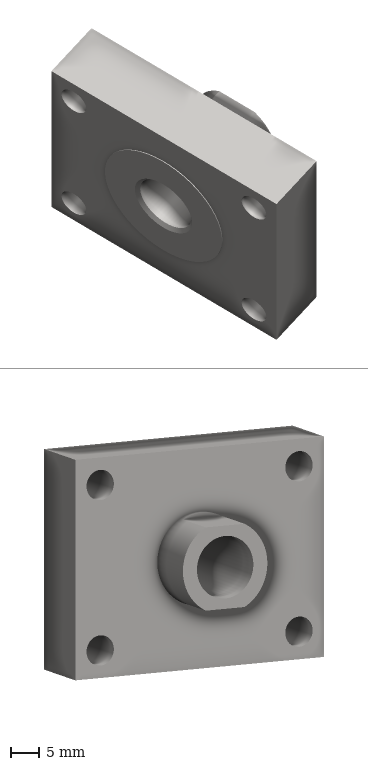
import cadquery as cq

plate_width = 50.0
plate_height = 40.0
plate_thickness = 12.0

mount_hole_diameter = 5.5
mount_pitch_x = 40.0
mount_pitch_z = 30.0

total_depth = 22.0
face_diameter = 26.0
face_height = 0.15
spigot_diameter = 17.0
spigot_length = total_depth - plate_thickness - face_height

flat_spacing = 15.1
flat_length = 8.8

bore_diameter = 11.35
bore_mouth_diameter = 12.7
bore_chamfer = (bore_mouth_diameter - bore_diameter) / 2


def cylinder(diameter, start_y, length):
    """Cylinder on the part's axis, running toward +Y from start_y."""
    base = cq.Workplane("XZ", origin=(0, start_y, 0))
    return base.circle(diameter / 2).extrude(-length)


def make_plate():
    plate = cq.Workplane("XY").box(
        plate_width, plate_thickness, plate_height, centered=(True, False, True)
    )
    return (
        plate.faces("<Y").workplane(centerOption="CenterOfBoundBox")
        .rarray(mount_pitch_x, mount_pitch_z, 2, 2)
        .hole(mount_hole_diameter)
    )


def make_spigot():
    spigot = cylinder(spigot_diameter, plate_thickness, spigot_length)
    collar_length = spigot_length - flat_length
    collar = cylinder(spigot_diameter, plate_thickness, collar_length)
    flats = cq.Workplane("XY").box(
        spigot_diameter, spigot_length, flat_spacing, centered=(True, False, True)
    ).translate((0, plate_thickness, 0))
    return spigot.intersect(flats).union(collar)


def make_bore():
    """Bore and its chamfered mouth, revolved about the Y axis."""
    front_y = -face_height
    back_y = total_depth - face_height
    profile = [
        (0, front_y),
        (bore_mouth_diameter / 2, front_y),
        (bore_diameter / 2, front_y + bore_chamfer),
        (bore_diameter / 2, back_y),
        (0, back_y),
    ]
    return cq.Workplane("XY").polyline(profile).close().revolve(360, (0, 0, 0), (0, 1, 0))


raised_face = cylinder(face_diameter, -face_height, face_height)
result = make_plate().union(raised_face).union(make_spigot()).cut(make_bore())